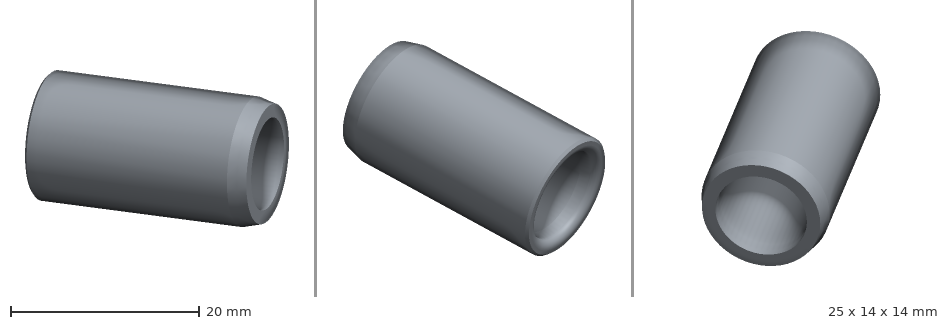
import cadquery as cq
import math

length = 25.0
outer_diameter = 14.0
bore_diameter = 10.0
mouth_radius = 1.0
throat_angle = 10.0
entry_depth = 2.0
edge_chamfer = 0.3
lead_length = 2.0
lead_angle = 15.0

outer_radius = outer_diameter / 2
bore_radius = bore_diameter / 2
lead_drop = lead_length * math.tan(math.radians(lead_angle))


def make_sleeve():
    """Solid body with a chamfered entry edge and a tapered far end."""
    return (
        cq.Workplane("XY")
        .lineTo(0, outer_radius - edge_chamfer)
        .lineTo(edge_chamfer, outer_radius)
        .lineTo(length - lead_length, outer_radius)
        .lineTo(length, outer_radius - lead_drop)
        .lineTo(length, 0)
        .close()
        .revolve(360, (0, 0), (1, 0))
    )


def make_bore():
    """Through bore entered by a rounded mouth and a slightly tapered throat."""
    throat_slope = math.radians(throat_angle)
    throat_start = mouth_radius * (1 - math.sin(throat_slope))
    throat_radius = bore_radius + (entry_depth - throat_start) * math.tan(throat_slope)
    mouth_edge_radius = throat_radius + mouth_radius * math.cos(throat_slope)
    half_sweep = (math.pi / 2 - throat_slope) / 2
    mouth_mid = (
        mouth_radius * (1 - math.cos(half_sweep)),
        mouth_edge_radius - mouth_radius * math.sin(half_sweep),
    )
    return (
        cq.Workplane("XY")
        .lineTo(0, mouth_edge_radius)
        .threePointArc(mouth_mid, (throat_start, throat_radius))
        .lineTo(entry_depth, bore_radius)
        .lineTo(length, bore_radius)
        .lineTo(length, 0)
        .close()
        .revolve(360, (0, 0), (1, 0))
    )


result = make_sleeve().cut(make_bore())